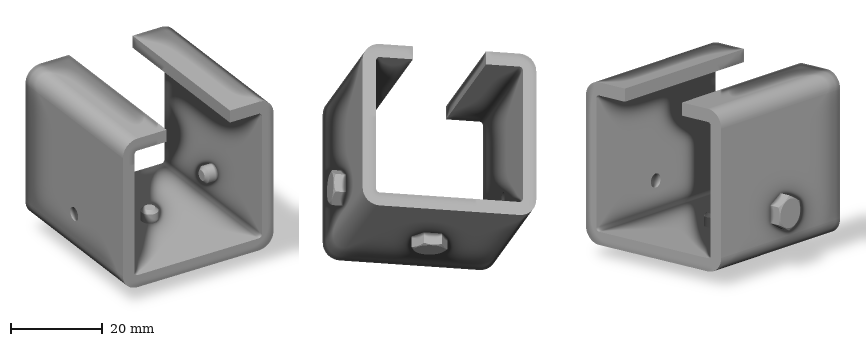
import cadquery as cq
import math

length = 40.0
width = 38.8
height = 37.02
wall = 3.0
bend_radius = 3.8
inner_bend_radius = bend_radius - wall
lip_length = 11.25
slot_width = width - 2 * lip_length

head_height = 2.8
head_across_flats = 7.0
head_across_corners = head_across_flats / math.cos(math.radians(30))
head_face_diameter = 6.65
head_chamfer_angle = 30
shank_diameter = 4.0
shank_length = 2 * wall
tip_chamfer = 0.75
side_axis_height = 10.0

hole_diameter = 3.25


def make_channel():
    outer = (
        cq.Workplane("XY")
        .box(length, width, height, centered=(True, True, False))
        .edges("|X")
        .fillet(bend_radius)
    )
    cavity = (
        cq.Workplane("XY", origin=(0, 0, wall))
        .box(length, width - 2 * wall, height - 2 * wall, centered=(True, True, False))
        .edges("|X")
        .fillet(inner_bend_radius)
    )
    slot = cq.Workplane("XY", origin=(0, 0, height / 2)).box(
        length, slot_width, height, centered=(True, True, False)
    )
    return outer.cut(cavity).cut(slot)


def make_bolt():
    """Bolt along +Z, seated at Z = 0, with two head corners on the Y axis."""
    hexagon = (
        cq.Workplane("XY")
        .transformed(rotate=(0, 0, 90))
        .polygon(6, head_across_corners)
        .extrude(-head_height)
    )
    corner_radius = head_across_corners / 2
    face_radius = head_face_diameter / 2
    chamfer_height = (corner_radius - face_radius) * math.tan(math.radians(head_chamfer_angle))
    head_envelope = (
        cq.Workplane("XZ")
        .moveTo(0, 0)
        .lineTo(corner_radius, 0)
        .lineTo(corner_radius, chamfer_height - head_height)
        .lineTo(face_radius, -head_height)
        .lineTo(0, -head_height)
        .close()
        .revolve(360, (0, 0, 0), (0, 1, 0))
    )
    shank = (
        cq.Workplane("XY")
        .circle(shank_diameter / 2)
        .extrude(shank_length)
        .faces(">Z")
        .chamfer(tip_chamfer)
    )
    return hexagon.intersect(head_envelope).union(shank)


bottom_bolt = make_bolt()

side_bolt = (
    make_bolt()
    .rotate((0, 0, 0), (1, 0, 0), 90)
    .translate((0, width / 2, side_axis_height))
)

wall_hole = (
    cq.Workplane("XZ", origin=(0, -width / 2, side_axis_height))
    .circle(hole_diameter / 2)
    .extrude(-wall)
)

result = make_channel().cut(wall_hole).union(bottom_bolt).union(side_bolt)